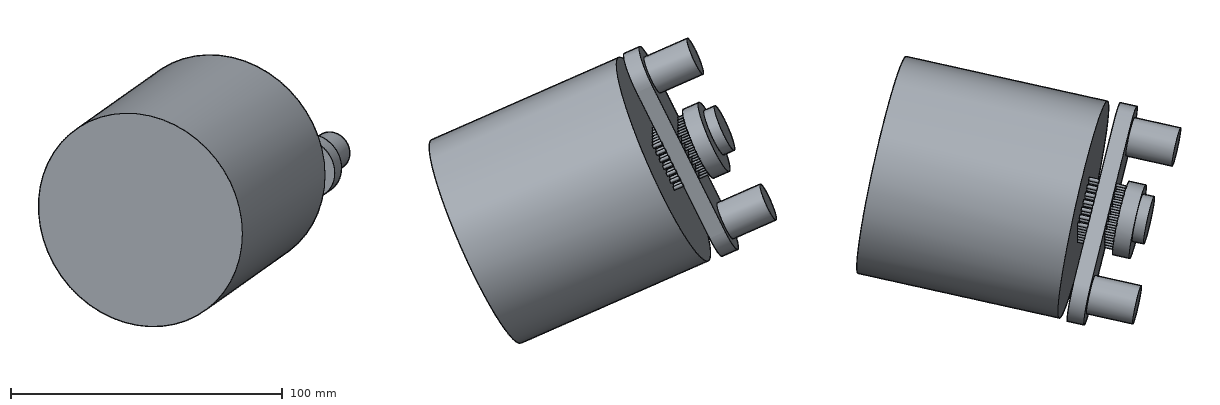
import cadquery as cq

body_diameter = 82.0
body_length = 76.2

body_pin_diameter = 1.5
disc_pin_diameter = 1.0
pin_pitch = 3.0
pins_per_side = 7
pin_gap = 3.9

plate_length = 86.3
plate_width = 23.1
plate_thickness = 6.3
post_diameter = 14.5
post_length = 17.5
post_spacing = plate_length - plate_width

disc_diameter = 27.8
disc_thickness = 6.3
boss_diameter = 18.0
boss_length = 4.3
boss_offset_z = 4.5

body_back = body_length
plate_front = body_back + pin_gap
plate_back = plate_front + plate_thickness
disc_front = plate_back + pin_gap
disc_back = disc_front + disc_thickness


def plane_at(y):
    """Sketch plane facing +Y at the given Y; its local x is X and its local y is Z, reversed."""
    return cq.Workplane("XZ", origin=(0, y, 0)).transformed(rotate=(180, 0, 0))


def cylinder(diameter, y_start, length, z=0):
    """Cylinder along Y, growing toward +Y from y_start."""
    return plane_at(y_start).center(0, -z).circle(diameter / 2).extrude(length)


def flange_plate():
    plate = plane_at(plate_front).slot2D(plate_length, plate_width).extrude(plate_thickness)
    posts = (
        plane_at(plate_back)
        .rarray(post_spacing, 1, 2, 1)
        .circle(post_diameter / 2)
        .extrude(post_length)
    )
    return plate.union(posts)


def disc_with_boss():
    disc = cylinder(disc_diameter, disc_front, disc_thickness)
    boss = cylinder(boss_diameter, disc_back, boss_length, boss_offset_z)
    return disc.union(boss)


def pin_grid(diameter, y_start):
    """Square grid of pins bridging the gap that starts at y_start."""
    return (
        plane_at(y_start)
        .rarray(pin_pitch, pin_pitch, pins_per_side, pins_per_side)
        .circle(diameter / 2)
        .extrude(pin_gap)
    )


body = cylinder(body_diameter, 0, body_length)
result = (
    body.union(pin_grid(body_pin_diameter, body_back))
    .union(flange_plate())
    .union(pin_grid(disc_pin_diameter, plate_back))
    .union(disc_with_boss())
)